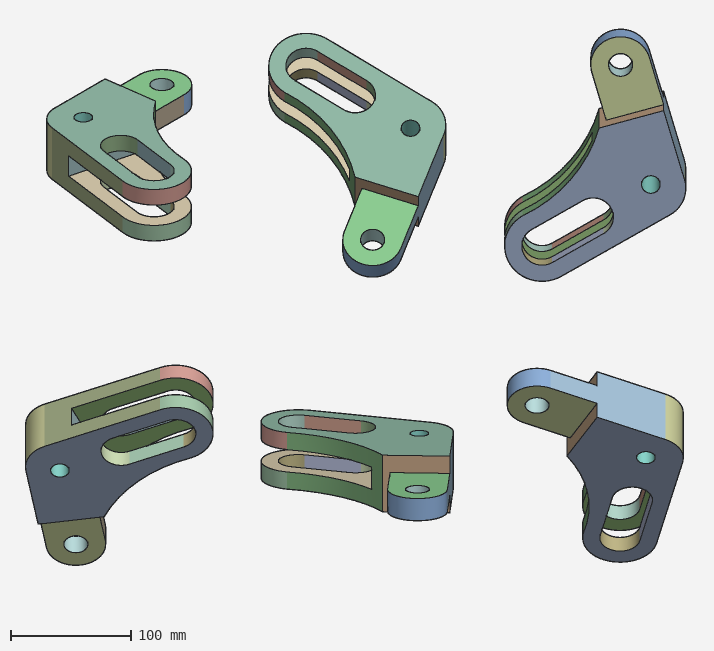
import cadquery as cq
import math

height = 49.7
tongue_thickness = 19.5
lobe_radius = 31.2
corner_radius = 27.0
lean = math.radians(15)

arm_radius = 24.9
eye_diameter = 19.9
eye_x = -135.3
eye_y = 98.7
shoulder_distance = 43.5
shoulder_width = 55.9
hollow_radius = 123.4

slot_radius = 16.8
slot_spacing = 49.5
pivot_diameter = 15.5
fork_depth_x = -81.0

arm_direction = (-math.sin(lean), math.cos(lean))
arm_normal = (math.cos(lean), math.sin(lean))


def offset(point, along, across):
    """Move a point along the arm and across it."""
    return (
        point[0] + along * arm_direction[0] + across * arm_normal[0],
        point[1] + along * arm_direction[1] + across * arm_normal[1],
    )


eye_center = (eye_x, eye_y)
corner_y = corner_radius - lobe_radius
radius_change = corner_radius - arm_radius
corner_reach = (eye_y - corner_y + radius_change * math.sin(lean)) / math.cos(lean)
corner_center = offset(eye_center, -corner_reach, radius_change)
corner_x = corner_center[0]
corner_tangent = offset(corner_center, 0, -corner_radius)
shoulder_left = offset(eye_center, -shoulder_distance, -arm_radius)
shoulder_right = offset(shoulder_left, 0, shoulder_width)

corner_middle_angle = math.radians(270) - (math.pi / 2 - lean) / 2
corner_middle = (
    corner_x + corner_radius * math.cos(corner_middle_angle),
    corner_y + corner_radius * math.sin(corner_middle_angle),
)
body = (
    cq.Workplane("XY")
    .moveTo(corner_x, -lobe_radius)
    .lineTo(0, -lobe_radius)
    .threePointArc((lobe_radius, 0), (0, lobe_radius))
    .radiusArc(shoulder_right, hollow_radius)
    .lineTo(*shoulder_left)
    .lineTo(*corner_tangent)
    .threePointArc(corner_middle, (corner_x, -lobe_radius))
    .close()
    .extrude(height)
)

gap_bottom = (height - tongue_thickness) / 2
gap_length = lobe_radius - fork_depth_x
gap_width = 2 * (shoulder_right[1] + lobe_radius)
fork_gap = (
    cq.Workplane("XY", origin=(fork_depth_x, 0, gap_bottom))
    .rect(gap_length, gap_width, centered=(False, True))
    .extrude(tongue_thickness)
)

slot = (
    cq.Workplane("XY")
    .center(-slot_spacing / 2, 0)
    .slot2D(slot_spacing + 2 * slot_radius, 2 * slot_radius)
    .extrude(height)
)

pivot_hole = (
    cq.Workplane("XY")
    .center(corner_x, 0)
    .circle(pivot_diameter / 2)
    .extrude(height)
)

eye_tip = offset(eye_center, arm_radius, 0)
arm = (
    cq.Workplane("XY", origin=(0, 0, gap_bottom))
    .moveTo(*shoulder_left)
    .lineTo(*offset(eye_center, 0, -arm_radius))
    .threePointArc(eye_tip, offset(eye_center, 0, arm_radius))
    .lineTo(*offset(shoulder_left, 0, 2 * arm_radius))
    .close()
    .extrude(tongue_thickness)
)
eye_hole = (
    cq.Workplane("XY")
    .center(*eye_center)
    .circle(eye_diameter / 2)
    .extrude(height)
)

result = body.cut(fork_gap).cut(slot).cut(pivot_hole).union(arm).cut(eye_hole)